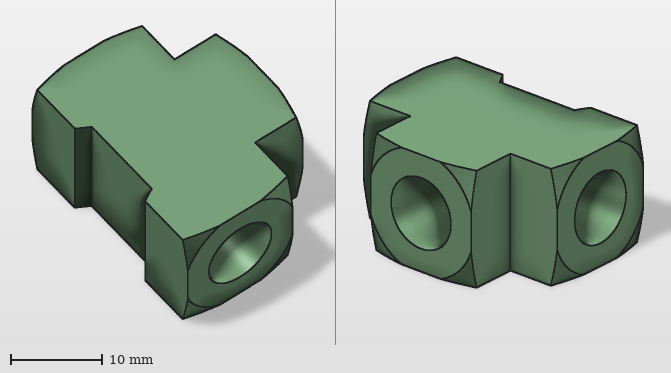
import cadquery as cq
import math

run_length = 27.95
total_depth = 21.07
height = 14.22
arm_width = 14.47

bore_diameter = 8.63
face_radius = 7.63
chamfer_angle = 20.0

groove_depth = 1.62
groove_floor_width = 10.75
groove_flank_angle = 30.0

half_run = run_length / 2
half_width = arm_width / 2
branch_reach = total_depth - half_width


def turned_envelope(back, reach):
    """Cylinder along +Z from -back to reach, with a conical chamfer at the far end."""
    outer_radius = math.hypot(arm_width, height)
    cone_depth = (outer_radius - face_radius) * math.tan(math.radians(chamfer_angle))
    return (
        cq.Workplane("XZ")
        .moveTo(0, -back)
        .lineTo(outer_radius, -back)
        .lineTo(outer_radius, reach - cone_depth)
        .lineTo(face_radius, reach)
        .lineTo(0, reach)
        .close()
        .revolve(360, (0, 0, 0), (0, 1, 0))
    )


run = cq.Workplane("XY").box(run_length, arm_width, height)
run_envelope = turned_envelope(half_run, half_run).rotate((0, 0, 0), (0, 1, 0), 90)
run = run.intersect(run_envelope)
run = run.intersect(run_envelope.mirror("YZ"))

branch = cq.Workplane("XY").box(arm_width, branch_reach, height).translate((0, branch_reach / 2, 0))
branch = branch.intersect(turned_envelope(0, branch_reach).rotate((0, 0, 0), (1, 0, 0), -90))

half_floor = groove_floor_width / 2
half_mouth = half_floor + groove_depth * math.tan(math.radians(groove_flank_angle))
groove = (
    cq.Workplane("XY")
    .polyline([
        (-half_mouth, -half_width),
        (half_mouth, -half_width),
        (half_floor, groove_depth - half_width),
        (-half_floor, groove_depth - half_width),
    ])
    .close()
    .extrude(height / 2, both=True)
)

bore_radius = bore_diameter / 2
run_bore = cq.Workplane("YZ").circle(bore_radius).extrude(half_run, both=True)
branch_bore = cq.Workplane("XZ").circle(bore_radius).extrude(-branch_reach)

result = run.union(branch).cut(groove).cut(run_bore).cut(branch_bore)